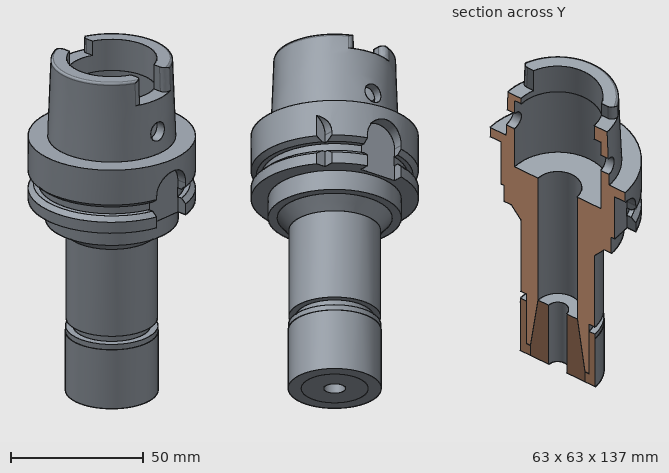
import cadquery as cq
import math


total_length = 137.0

match_tolerance = 0.07

taper_length = 32.0
taper_base_radius = 24.1
taper_tip_radius = 22.9
taper_rim_height = 1.0
taper_rim_width = 1.1

drive_slot_width = 12.6
drive_slot_corner_radius = 2.3
shallow_slot_depth = 5.9
deep_slot_depth = 10.0

cavity_mouth_radius = 17.0
cavity_lip_depth = 12.9
cavity_recess_radius = 20.0
cavity_floor_z = -13.8
tool_bore_radius = 9.0
access_hole_diameter = 7.5
access_hole_z = 9.0

flange_radius = 31.5
flange_bottom_z = -26.0
groove_mid_z = -18.0
groove_floor_width = 3.7
groove_mouth_width = 7.1
groove_flank_radius = 29.5
groove_floor_radius = 27.5

keyway_width = 16.0
keyway_flat_distance = 26.5
keyway_arch_z = -12.9
notch_wall_distance = 20.1

collar_radius = 25.1
collar_bottom_z = -34.0
cone_top_radius = 21.6
cone_bottom_z = -39.2
shaft_radius = 17.3
shaft_bottom_z = -75.1
nose_radius = 14.7

nut_radius = 17.5
nut_band_radius = 17.4
nut_band_height = 2.2
nut_length = 26.6
nut_cap_thickness = 5.0
nut_bottom_z = taper_length - total_length
nut_top_z = nut_bottom_z + nut_length
nose_bottom_z = nut_bottom_z + nut_cap_thickness

collet_top_z = shaft_bottom_z
collet_mouth_radius = 12.6
collet_bore_radius = 4.1


def revolve_profile(points):
    """Solid of revolution about Z from (radius, z) points."""
    return cq.Workplane("XZ").polyline(points).close().revolve(360, (0, 0, 0), (0, 1, 0))


def cylinder(radius, bottom_z, top_z):
    """Solid cylinder about Z."""
    return cq.Workplane("XY").workplane(offset=bottom_z).circle(radius).extrude(top_z - bottom_z)


def taper_radius(z):
    """Outer radius of the taper at height z."""
    return taper_base_radius + (taper_tip_radius - taper_base_radius) * z / taper_length


def make_taper_envelope():
    """Taper with its rim rounded, still without openings."""
    rim_start = (taper_radius(taper_length - taper_rim_height), taper_length - taper_rim_height)
    return (
        cq.Workplane("XZ")
        .lineTo(taper_base_radius, 0)
        .lineTo(*rim_start)
        .tangentArcPoint((taper_tip_radius - taper_rim_width, taper_length), relative=False)
        .lineTo(0, taper_length)
        .close()
        .revolve(360, (0, 0, 0), (0, 1, 0))
    )


def slot_corner_edges(body):
    """Upright edges where the drive slots meet the outside of the taper."""
    def is_corner(edge):
        middle = edge.Center()
        on_slot_wall = math.isclose(abs(middle.y), drive_slot_width / 2, abs_tol=match_tolerance)
        distance = math.hypot(middle.x, middle.y)
        on_outside = math.isclose(distance, taper_radius(middle.z), abs_tol=match_tolerance)
        return on_slot_wall and on_outside and edge.BoundingBox().zlen > shallow_slot_depth / 2

    return body.newObject([edge for edge in body.edges().vals() if is_corner(edge)])


def make_taper():
    """Tapered shank with its mouth, two drive slots and rounded rim."""
    taper = revolve_profile([
        (0, 0),
        (taper_base_radius, 0),
        (taper_tip_radius, taper_length),
        (0, taper_length),
    ])
    taper = taper.cut(cylinder(cavity_mouth_radius, taper_length - cavity_lip_depth, taper_length))
    for side, depth in ((-1, shallow_slot_depth), (1, deep_slot_depth)):
        slot = (
            cq.Workplane("XY")
            .box(flange_radius, drive_slot_width, depth, centered=(True, True, False))
            .translate((side * flange_radius / 2, 0, taper_length - depth))
        )
        taper = taper.cut(slot)
    taper = slot_corner_edges(taper).fillet(drive_slot_corner_radius)
    return taper.intersect(make_taper_envelope())


def make_lower_holder():
    """Flange with its groove, then collar, cone, shaft and the nose that carries the nut."""
    return revolve_profile([
        (0, 0),
        (flange_radius, 0),
        (flange_radius, groove_mid_z + groove_mouth_width / 2),
        (groove_flank_radius, groove_mid_z + groove_floor_width / 2),
        (groove_floor_radius, groove_mid_z + groove_floor_width / 2),
        (groove_floor_radius, groove_mid_z - groove_floor_width / 2),
        (groove_flank_radius, groove_mid_z - groove_floor_width / 2),
        (flange_radius, groove_mid_z - groove_mouth_width / 2),
        (flange_radius, flange_bottom_z),
        (collar_radius, flange_bottom_z),
        (collar_radius, collar_bottom_z),
        (cone_top_radius, collar_bottom_z),
        (shaft_radius, cone_bottom_z),
        (shaft_radius, shaft_bottom_z),
        (nose_radius, shaft_bottom_z),
        (nose_radius, nose_bottom_z),
        (0, nose_bottom_z),
    ])


def arched_cutter(side, wall_distance, center_y):
    """Round-topped slot cutter outside x = side * wall_distance, open at the flange bottom."""
    half_width = keyway_width / 2
    return (
        cq.Workplane("YZ", origin=(side * wall_distance, 0, 0))
        .moveTo(center_y - half_width, flange_bottom_z)
        .lineTo(center_y - half_width, keyway_arch_z)
        .threePointArc((center_y, keyway_arch_z + half_width), (center_y + half_width, keyway_arch_z))
        .lineTo(center_y + half_width, flange_bottom_z)
        .close()
        .extrude(side * flange_radius)
    )


def collet_profile(inner_radius):
    """Half section from inner_radius to the collet's conical seat, as (radius, z) points."""
    return [
        (inner_radius, collet_top_z),
        (tool_bore_radius, collet_top_z),
        (collet_mouth_radius, nose_bottom_z),
        (inner_radius, nose_bottom_z),
    ]


def make_collet():
    """Conical collet whose straight end is flush with the bottom of the nut."""
    straight_end = cylinder(collet_mouth_radius, nut_bottom_z, nose_bottom_z).cut(
        cylinder(collet_bore_radius, nut_bottom_z, nose_bottom_z)
    )
    return revolve_profile(collet_profile(collet_bore_radius)).union(straight_end)


def make_nut():
    """Clamping nut with a slightly narrower band at its upper end."""
    band_z = nut_top_z - nut_band_height
    return (
        cylinder(nut_radius, nut_bottom_z, band_z)
        .union(cylinder(nut_band_radius, band_z, nut_top_z))
        .cut(cylinder(nose_radius, nose_bottom_z, nut_top_z))
        .cut(cylinder(collet_mouth_radius, nut_bottom_z, nose_bottom_z))
    )


def cut_inner_bores(holder):
    """Recess behind the cavity lip, tool bore and conical collet seat."""
    recess = cylinder(cavity_recess_radius, cavity_floor_z, taper_length - cavity_lip_depth)
    tool_bore = cylinder(tool_bore_radius, collet_top_z, cavity_floor_z)
    collet_seat = revolve_profile(collet_profile(0))
    return holder.cut(recess).cut(tool_bore).cut(collet_seat)


def cut_access_hole(holder):
    """Round hole along X through both walls of the taper."""
    hole = (
        cq.Workplane("YZ")
        .center(0, access_hole_z)
        .circle(access_hole_diameter / 2)
        .extrude(flange_radius, both=True)
    )
    return holder.cut(hole)


def cut_flange_slots(holder):
    """Opposed keyways on -X and +X, and the right-angled notch between -X and +Y."""
    for side in (-1, 1):
        holder = holder.cut(arched_cutter(side, keyway_flat_distance, 0))
    notch_center_y = notch_wall_distance + keyway_width / 2
    return holder.cut(arched_cutter(-1, notch_wall_distance, notch_center_y))


def make_holder():
    """Taper, flange and shaft as one solid, with all openings cut."""
    holder = make_taper().union(make_lower_holder())
    holder = cut_inner_bores(holder)
    holder = cut_access_hole(holder)
    return cut_flange_slots(holder)


holder = make_holder().solids()
nut = make_nut().solids()
collet = make_collet().solids()
result = cq.Compound.makeCompound([holder.val(), nut.val(), collet.val()])